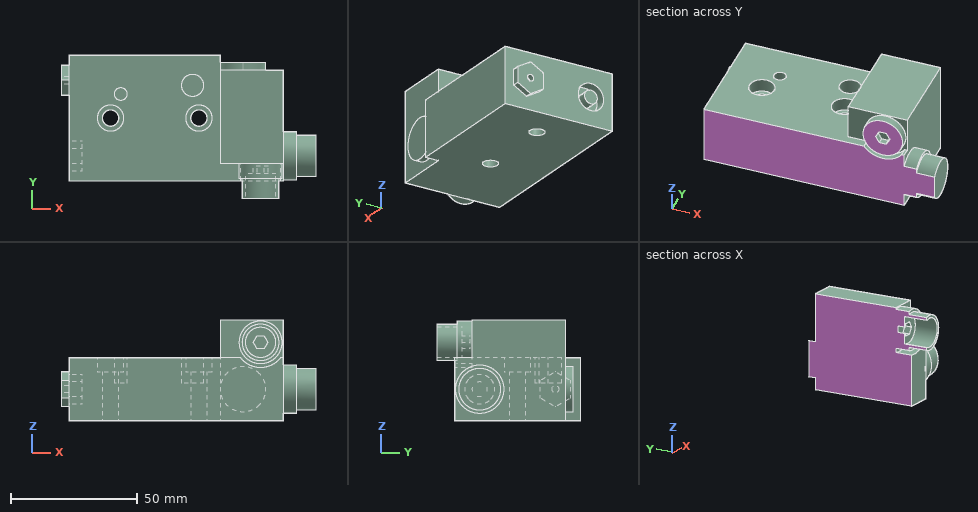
import cadquery as cq
import math

base_length = 85.0
base_width = 50.0
base_height = 25.0
port_z = base_height / 2
port_inset = 10.0

head_length = 25.0
head_width = 37.1
head_height = 14.9
head_setback = 6.0
head_left = base_length - head_length
head_rear = base_width - head_setback
head_front = head_rear - head_width

plug_diameter = 18.0
plug_length = 3.0
plug_x = head_left + plug_diameter / 2

right_collar_diameter = 19.2
right_collar_length = 5.3
right_stub_diameter = 16.6
right_total_length = 12.9

front_collar_diameter = 17.0
front_collar_length = 6.0
front_stub_diameter = 14.5
front_overhang = 7.0
front_total_length = head_front + front_overhang
front_bore_diameter = 12.0
front_bore_depth = 10.0
front_x = base_length - 9.1
front_z = base_height + 6.1
clearance_diameter = 20.0
socket_flats = 5.0
socket_depth = 3.0

nut_flats = 12.0
nut_height = 3.0
nut_hole_diameter = 2.8
nut_hole_depth = 3.0
recess_diameter = 11.8
recess_depth = 5.0
pin_diameter = 6.0

mount_diameter = 6.4
counterbore_diameter = 10.4
counterbore_depth = 5.7
mount_positions = [(16.5, base_width / 2), (51.5, base_width / 2)]
small_hole_diameter = 5.0
small_hole_position = (20.5, base_width - 15.5)
large_hole_diameter = 8.8
large_hole_position = (49.0, base_width - 12.0)
blind_hole_depth = 10.0


def box(length, width, height, corner):
    return cq.Workplane("XY").box(length, width, height, centered=False).translate(corner)


def rod(diameter, length, start, direction):
    solid = cq.Solid.makeCylinder(diameter / 2, length, cq.Vector(*start), cq.Vector(*direction))
    return cq.Workplane(obj=solid)


def hex_prism(flats, length, start, direction, x_direction):
    """Extrude a hexagon that has two corners along x_direction."""
    plane = cq.Plane(origin=start, xDir=x_direction, normal=direction)
    across_corners = flats / math.cos(math.pi / 6)
    return cq.Workplane(plane).polygon(6, across_corners).extrude(length)


LEFT, RIGHT = (-1, 0, 0), (1, 0, 0)
FRONT, REAR = (0, -1, 0), (0, 1, 0)
UP, DOWN = (0, 0, 1), (0, 0, -1)


def make_blocks():
    base = box(base_length, base_width, base_height, (0, 0, 0))
    notch = box(head_length, head_setback, base_height, (head_left, head_rear, 0))
    clearance = rod(clearance_diameter, head_front, (front_x, head_front, front_z), FRONT)
    head = box(head_length, head_width, head_height, (head_left, head_front, base_height))
    return base.cut(notch).cut(clearance).union(head)


def add_rear_plug(body):
    return body.union(rod(plug_diameter, plug_length, (plug_x, head_rear, port_z), REAR))


def add_right_connector(body):
    start = (base_length, port_inset, port_z)
    collar = rod(right_collar_diameter, right_collar_length, start, RIGHT)
    stub = rod(right_stub_diameter, right_total_length, start, RIGHT)
    return body.union(collar).union(stub)


def add_front_connector(body):
    start = (front_x, head_front, front_z)
    tip = (front_x, -front_overhang, front_z)
    bore_floor = (front_x, front_bore_depth - front_overhang, front_z)
    collar = rod(front_collar_diameter, front_collar_length, start, FRONT)
    stub = rod(front_stub_diameter, front_total_length, start, FRONT)
    bore = rod(front_bore_diameter, front_bore_depth, tip, REAR)
    socket = hex_prism(socket_flats, socket_depth, bore_floor, REAR, RIGHT)
    return body.union(collar).union(stub).cut(bore).cut(socket)


def add_left_fittings(body):
    nut_y = base_width - port_inset
    nut = hex_prism(nut_flats, nut_height, (0, nut_y, port_z), LEFT, UP)
    nut_hole = rod(nut_hole_diameter, nut_hole_depth, (-nut_height, nut_y, port_z), RIGHT)
    recess_start = (0, port_inset, port_z)
    recess = rod(recess_diameter, recess_depth, recess_start, RIGHT)
    pin = rod(pin_diameter, recess_depth, recess_start, RIGHT)
    return body.union(nut).cut(nut_hole).cut(recess.cut(pin))


def cut_top_holes(body):
    for x, y in mount_positions:
        top = (x, y, base_height)
        body = body.cut(rod(mount_diameter, base_height, top, DOWN))
        body = body.cut(rod(counterbore_diameter, counterbore_depth, top, DOWN))
    blind_holes = [
        (small_hole_diameter, small_hole_position),
        (large_hole_diameter, large_hole_position),
    ]
    for diameter, (x, y) in blind_holes:
        body = body.cut(rod(diameter, blind_hole_depth, (x, y, base_height), DOWN))
    return body


body = make_blocks()
body = add_rear_plug(body)
body = add_right_connector(body)
body = add_front_connector(body)
body = add_left_fittings(body)
result = cut_top_holes(body)